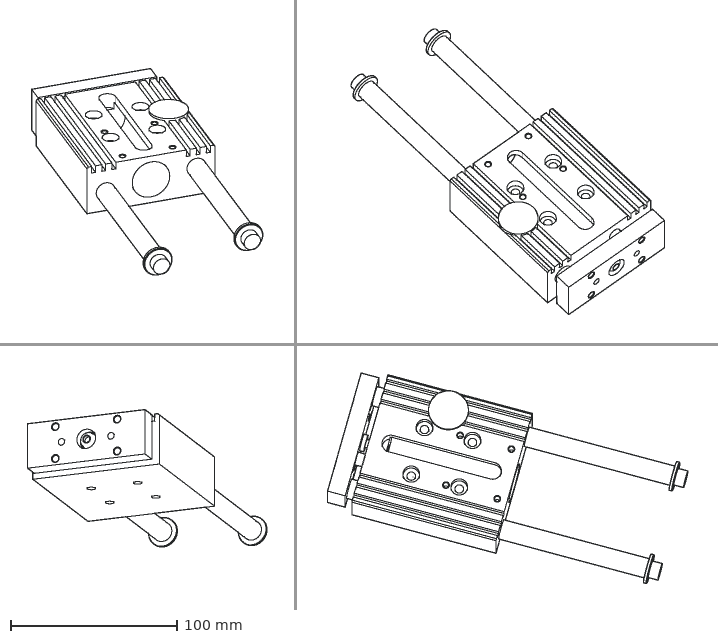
import cadquery as cq
import math


total_length = 205.0
plate_thickness = 11.0
gap = 5.0
housing_start = plate_thickness + gap
housing_length = 90.0
housing_end = housing_start + housing_length
housing_width = 82.0
housing_height = 32.0
axis_height = housing_height / 2
edge_chamfer = 1.0

rod_diameter = 12.0
rod_spacing_y = 58.0
rod_spacing_z = 6.0
rod_offset_y = rod_spacing_y / 2
rod_offset_z = rod_spacing_z / 2
rod_positions = [
    (-rod_offset_y, axis_height - rod_offset_z),
    (rod_offset_y, axis_height + rod_offset_z),
]
collar_diameter = 18.0
collar_thickness = 2.0
collar_chamfer = 0.5
stub_diameter = 10.5
stub_length = 6.0
collar_start = total_length - stub_length - collar_thickness

groove_width = 2.5
groove_depth = 4.5
groove_first = 23.8
groove_last = 36.7
groove_count = 3
groove_pitch = (groove_last - groove_first) / (groove_count - 1)

disc_diameter = 24.0
disc_rise = 1.5
disc_x = 57.0

mount_spacing = 30.0
mount_x = 60.9
mount_hole_diameter = 5.1
mount_bore_diameter = 10.0
mount_bore_depth = 5.0

top_thread_first_x = 67.9
top_thread_spacing = 32.0
small_thread_drill = 3.3
small_thread_mouth = 4.0
top_thread_depth = 8.2
drill_point_angle = 118.0

bore_diameter = 24.0
bore_start = 27.0
slot_start = 23.8
slot_end = 97.8
slot_width = 10.5
slot_floor = 22.5

plate_width = 76.0
plate_height = 28.0
plate_bottom = axis_height - plate_height / 2
plate_thread_spacing_y = 40.0
plate_thread_spacing_z = 20.0
large_thread_drill = 4.0
large_thread_mouth = 5.0
pin_hole_diameter = 4.0
pin_hole_spacing = 32.0

screw_bore_diameter = 12.0
screw_bore_depth = 6.0
screw_head_diameter = 10.0
screw_tip_diameter = 5.0
screw_tip_depth = 0.6
screw_rim_depth = 5.0
screw_socket_diameter = 4.0
screw_socket_depth = 3.3

rod_nose_diameter = 10.5
rod_nose_length = 2.5
piston_rod_diameter = 5.1
stop_diameter = 8.0
stop_y = -12.0
stop_z = 22.5


def rod_along_x(diameter, start, end, y=0.0, z=axis_height):
    """Round bar parallel to X between two X positions."""
    plane = cq.Workplane("YZ", origin=(start, y, z))
    return plane.circle(diameter / 2).extrude(end - start)


def chamfered_mouth(drill, mouth):
    """Depth of a 45 degree chamfer that opens a drill to the mouth diameter."""
    return (mouth - drill) / 2


def drill_from_top(x, y):
    """Cutter for a blind threaded hole with a chamfered mouth and a drill point."""
    drill_radius = small_thread_drill / 2
    mouth_depth = chamfered_mouth(small_thread_drill, small_thread_mouth)
    point_length = drill_radius / math.tan(math.radians(drill_point_angle / 2))
    profile = [
        (0, 0),
        (small_thread_mouth / 2, 0),
        (drill_radius, -mouth_depth),
        (drill_radius, -top_thread_depth),
        (0, -top_thread_depth - point_length),
    ]
    cutter = cq.Workplane("XZ").polyline(profile).close().revolve(360, (0, 0), (0, 1))
    return cutter.translate((x, y, housing_height))


def housing_block():
    """Plain housing with its two long top edges chamfered."""
    block = cq.Workplane("XY").box(housing_length, housing_width, housing_height, centered=(False, True, False))
    block = block.faces(">Z").edges("|X").chamfer(edge_chamfer)
    return block.translate((housing_start, 0, 0))


def cut_grooves(body):
    """Sensor grooves that run the full length along both sides of the top."""
    for index in range(groove_count):
        for side in (-1, 1):
            y = side * (groove_first + index * groove_pitch)
            groove = cq.Workplane("XY").box(
                housing_length, groove_width, groove_depth, centered=(False, True, False)
            )
            body = body.cut(groove.translate((housing_start, y, housing_height - groove_depth)))
    return body


def add_disc(body):
    """Round disc that bridges the grooves and stands above the top."""
    disc = cq.Workplane("XY", origin=(disc_x, rod_offset_y, housing_height - groove_depth))
    return body.union(disc.circle(disc_diameter / 2).extrude(groove_depth + disc_rise))


def cut_mounting_holes(body):
    """Four counterbored through holes."""
    top = cq.Workplane("XY", origin=(mount_x, 0, housing_height))
    centres = top.rect(mount_spacing, mount_spacing, forConstruction=True).vertices()
    body = body.cut(centres.circle(mount_hole_diameter / 2).extrude(-housing_height))
    return body.cut(centres.circle(mount_bore_diameter / 2).extrude(-mount_bore_depth))


def cut_top_threads(body):
    """Four blind threaded holes in the top."""
    for x in (top_thread_first_x, top_thread_first_x + top_thread_spacing):
        for side in (-1, 1):
            body = body.cut(drill_from_top(x, side * top_thread_spacing / 2))
    return body


def cut_bore_and_slot(body):
    """Cylinder bore, open at the far end, and the slot that opens it to the top."""
    body = body.cut(rod_along_x(bore_diameter, bore_start, housing_end))
    slot_middle = (slot_start + slot_end) / 2
    slot = cq.Workplane("XY", origin=(slot_middle, 0, slot_floor))
    slot = slot.slot2D(slot_end - slot_start, slot_width).extrude(housing_height - slot_floor)
    return body.cut(slot)


def cut_rod_passages(body):
    """Passages that fit the two guide rods and the piston rod."""
    for y, z in rod_positions:
        body = body.cut(rod_along_x(rod_diameter, housing_start, housing_end, y, z))
    return body.cut(rod_along_x(piston_rod_diameter, housing_start, bore_start))


def make_housing():
    body = cut_grooves(housing_block())
    body = add_disc(body)
    body = cut_mounting_holes(body)
    body = cut_top_threads(body)
    body = cut_bore_and_slot(body)
    return cut_rod_passages(body)


def end_plate():
    """Plate with four threaded holes and two pin holes, all passing through."""
    plate = cq.Workplane("XY").box(plate_thickness, plate_width, plate_height, centered=(False, True, False))
    plate = plate.translate((0, 0, plate_bottom))
    mouth_depth = chamfered_mouth(large_thread_drill, large_thread_mouth)
    for side_y in (-1, 1):
        y = side_y * plate_thread_spacing_y / 2
        for side_z in (-1, 1):
            z = axis_height + side_z * plate_thread_spacing_z / 2
            mouth = cq.Solid.makeCone(
                large_thread_mouth / 2, large_thread_drill / 2, mouth_depth, cq.Vector(0, y, z), cq.Vector(1, 0, 0)
            )
            plate = plate.cut(rod_along_x(large_thread_drill, 0, plate_thickness, y, z))
            plate = plate.cut(cq.Workplane(mouth))
        pin_y = side_y * pin_hole_spacing / 2
        plate = plate.cut(rod_along_x(pin_hole_diameter, 0, plate_thickness, pin_y))
    return plate


def screw_head():
    """Domed screw head with a round socket, set just below the face of the plate."""
    tip_radius = screw_tip_diameter / 2
    rim_radius = screw_head_diameter / 2
    halfway = math.sqrt(0.5)
    mid_depth = screw_rim_depth - halfway * (screw_rim_depth - screw_tip_depth)
    mid_radius = tip_radius + halfway * (rim_radius - tip_radius)
    profile = (
        cq.Workplane("XY")
        .moveTo(screw_tip_depth, 0)
        .lineTo(screw_tip_depth, tip_radius)
        .threePointArc((mid_depth, mid_radius), (screw_rim_depth, rim_radius))
        .lineTo(screw_bore_depth, rim_radius)
        .lineTo(screw_bore_depth, 0)
        .close()
    )
    head = profile.revolve(360, (0, 0), (1, 0)).translate((0, 0, axis_height))
    return head.cut(rod_along_x(screw_socket_diameter, 0, screw_socket_depth))


def guide_rod(y, z):
    """Guide rod with a chamfered collar and a stub at the free end."""
    collar = rod_along_x(collar_diameter, collar_start, collar_start + collar_thickness, y, z)
    collar = collar.faces(">X").edges().chamfer(collar_chamfer)
    rod = rod_along_x(rod_diameter, plate_thickness, collar_start, y, z)
    stub = rod_along_x(stub_diameter, collar_start, total_length, y, z)
    return rod.union(collar).union(stub)


def make_carriage():
    body = end_plate().cut(rod_along_x(screw_bore_diameter, 0, screw_bore_depth))
    body = body.union(screw_head())
    nose_end = plate_thickness + rod_nose_length
    body = body.union(rod_along_x(rod_nose_diameter, plate_thickness, nose_end))
    body = body.union(rod_along_x(piston_rod_diameter, plate_thickness, bore_start))
    body = body.union(rod_along_x(stop_diameter, plate_thickness, housing_start, stop_y, stop_z))
    for y, z in rod_positions:
        body = body.union(guide_rod(y, z))
    return body


housing = make_housing()
carriage = make_carriage()

result = cq.Compound.makeCompound([*housing.solids().vals(), *carriage.solids().vals()])